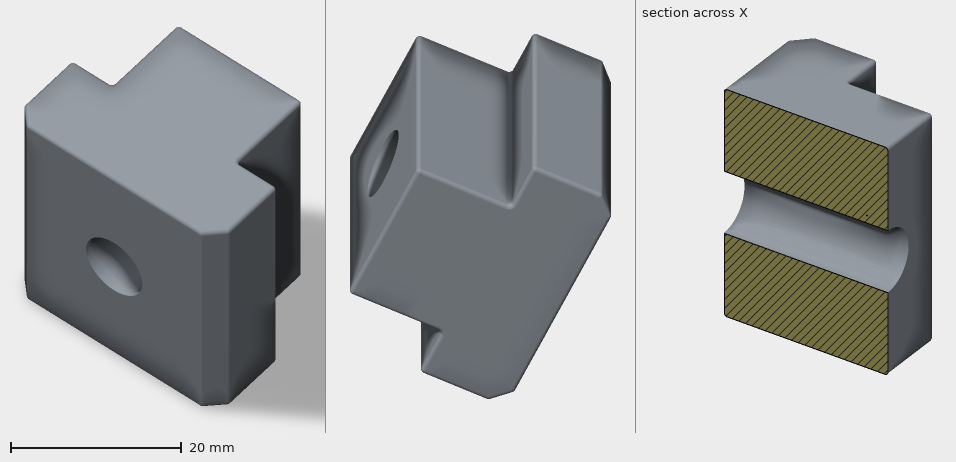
import cadquery as cq

width = 31.0
depth = 23.35
height = 31.4

flange_depth = 11.2
stem_width = 18.8
corner_chamfer = 2.3

hole_diameter = 8.5
edge_radius = 0.5

front_y = -depth / 2
back_y = depth / 2
shoulder_y = front_y + flange_depth


def make_body():
    """Extrude the T profile, centred on the origin, with chamfered front corners."""
    right_half = [
        (width / 2 - corner_chamfer, front_y),
        (width / 2, front_y + corner_chamfer),
        (width / 2, shoulder_y),
        (stem_width / 2, shoulder_y),
        (stem_width / 2, back_y),
    ]
    left_half = [(-x, y) for x, y in reversed(right_half)]
    return (
        cq.Workplane("XY")
        .workplane(offset=-height / 2)
        .polyline(right_half + left_half)
        .close()
        .extrude(height)
    )


def make_hole():
    """Cylinder running through the full depth along Y."""
    return (
        cq.Workplane("XZ", origin=(0, back_y, 0))
        .circle(hole_diameter / 2)
        .extrude(depth)
    )


body = make_body().edges("|Z").fillet(edge_radius)
body = body.faces("<Z or >Z").edges().fillet(edge_radius)

result = body.cut(make_hole())